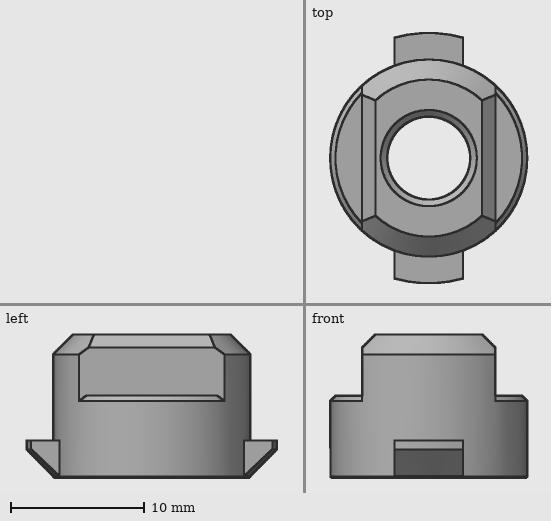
import cadquery as cq

body_diameter = 14.8
total_height = 10.77
shoulder_height = 6.17
shoulder_chamfer = 0.4
bottom_chamfer = 0.11

block_width = 10.0
block_round_chamfer = 1.5
block_flat_chamfer = 1.0

bore_diameter = 6.2
bore_chamfer = 0.5

lug_span = 18.8
lug_width = 5.15
lug_top = 2.82
lug_rim_thickness = 0.68

body_radius = body_diameter / 2
lug_radius = lug_span / 2
lug_rim_bottom = lug_top - lug_rim_thickness


def make_base():
    """Lower cylinder with chamfered shoulder and bottom edges."""
    base = cq.Workplane("XY").circle(body_radius).extrude(shoulder_height)
    base = base.faces(">Z").edges().chamfer(shoulder_chamfer)
    return base.faces("<Z").edges().chamfer(bottom_chamfer)


def make_block():
    """Upper block: a chamfered cylinder cut to a chamfered flat-sided width."""
    block_bottom = lug_top
    block_height = total_height - block_bottom
    plane = cq.Workplane("XY").workplane(offset=block_bottom)
    cylinder = plane.circle(body_radius).extrude(block_height)
    cylinder = cylinder.faces(">Z").edges().chamfer(block_round_chamfer)
    slab = plane.rect(block_width, body_diameter * 2).extrude(block_height)
    slab = slab.faces(">Z").edges("|Y").chamfer(block_flat_chamfer)
    return cylinder.intersect(slab)


def make_lugs():
    """Two opposite lugs along Y, with round rims and 45 degree conical undersides."""
    foot_radius = lug_radius - lug_rim_bottom
    disc = (
        cq.Workplane("XZ")
        .moveTo(0, 0)
        .lineTo(foot_radius, 0)
        .lineTo(lug_radius, lug_rim_bottom)
        .lineTo(lug_radius, lug_top)
        .lineTo(0, lug_top)
        .close()
        .revolve(360, (0, 0, 0), (0, 1, 0))
    )
    strip = cq.Workplane("XY").rect(lug_width, lug_span * 2).extrude(lug_top)
    return disc.intersect(strip)


def make_bore():
    """Through bore with a conical lead-in at the top."""
    bore_radius = bore_diameter / 2
    return (
        cq.Workplane("XZ")
        .moveTo(0, 0)
        .lineTo(bore_radius, 0)
        .lineTo(bore_radius, total_height - bore_chamfer)
        .lineTo(bore_radius + bore_chamfer, total_height)
        .lineTo(0, total_height)
        .close()
        .revolve(360, (0, 0, 0), (0, 1, 0))
    )


result = make_base().union(make_block()).union(make_lugs()).cut(make_bore())